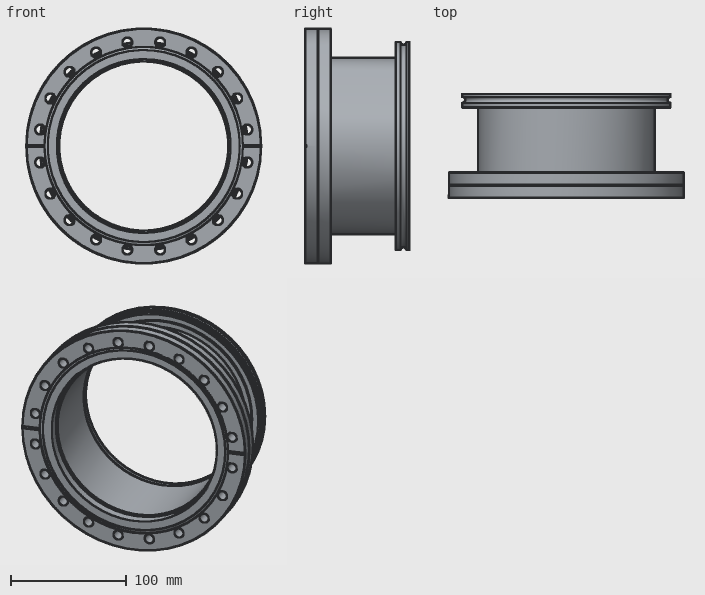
import cadquery as cq
overall_length = 90.0
back_chamfer = 0.6

tube_diameter = 152.9
tube_bore = 146.5

bolted_diameter = 203.0
bolted_thickness = 22.3
bolted_bore = 150.2
front_chamfer = 0.5
recess_diameter = 171.3
recess_depth = 1.5
knife_diameter = 165.9
knife_tip_depth = 0.6
seat_depth = recess_depth
tube_socket_start = 12.5
rim_groove_y = 11.2
rim_groove_width = 1.0
rim_groove_depth = 0.2

bolt_count = 20
bolt_circle = 181.0
bolt_hole = 8.3
slot_radius = 1.0

clamp_diameter = 180.0
clamp_thickness = 12.0
clamp_bore = 146.0
clamp_socket_depth = 6.0
clamp_groove_root = 175.0
clamp_groove_radius = (clamp_diameter - clamp_groove_root) / 2
clamp_groove_offset = 2 * clamp_groove_radius
face_groove_outer = 175.0
face_groove_inner = 163.0
face_groove_depth = 2.0

clamp_front = overall_length - clamp_thickness
tube_end = clamp_front + clamp_socket_depth


def revolve_profile(profile):
    """Turn a closed XY profile (X = radius, Y = axial place) about the Y axis."""
    return profile.close().revolve(360, (0, 0, 0), (0, 1, 0))


def ring(outer, inner, start, end):
    """Plain ring between two diameters and two places along Y."""
    return revolve_profile(
        cq.Workplane("XY")
        .moveTo(inner / 2, start)
        .lineTo(outer / 2, start)
        .lineTo(outer / 2, end)
        .lineTo(inner / 2, end)
    )


def make_tube():
    """Plain tube whose ends sit in the sockets of the two flanges."""
    return ring(tube_diameter, tube_bore, tube_socket_start, tube_end)


def make_bolted_flange():
    """Flange with a knife edge in a face recess, bolt holes and leak-check slots."""
    rim = bolted_diameter / 2
    flange = revolve_profile(
        cq.Workplane("XY")
        .moveTo(bolted_bore / 2, seat_depth)
        .lineTo(knife_diameter / 2, seat_depth)
        .lineTo(knife_diameter / 2, knife_tip_depth)
        .lineTo(recess_diameter / 2, recess_depth)
        .lineTo(recess_diameter / 2, 0)
        .lineTo(rim - front_chamfer, 0)
        .lineTo(rim, front_chamfer)
        .lineTo(rim, bolted_thickness - back_chamfer)
        .lineTo(rim - back_chamfer, bolted_thickness)
        .lineTo(tube_diameter / 2, bolted_thickness)
        .lineTo(tube_diameter / 2, tube_socket_start)
        .lineTo(bolted_bore / 2, tube_socket_start)
    )
    rim_groove = ring(
        bolted_diameter,
        bolted_diameter - 2 * rim_groove_depth,
        rim_groove_y - rim_groove_width / 2,
        rim_groove_y + rim_groove_width / 2,
    )
    flange = flange.cut(rim_groove)
    holes = (
        cq.Workplane("XZ")
        .polarArray(bolt_circle / 2, 180 / bolt_count, 360, bolt_count)
        .circle(bolt_hole / 2)
        .extrude(-bolted_thickness)
    )
    flange = flange.cut(holes)
    for side in (-1, 1):
        slot = (
            cq.Workplane("YZ", origin=(side * recess_diameter / 2, 0, 0))
            .circle(slot_radius)
            .extrude(side * (bolted_diameter - recess_diameter) / 2)
        )
        flange = flange.cut(slot)
    return flange


def make_clamp_flange():
    """Flange with a half-round groove in its rim and a square groove in its inner face."""
    rim = clamp_diameter / 2
    groove_y = overall_length - clamp_groove_offset
    return revolve_profile(
        cq.Workplane("XY")
        .moveTo(tube_diameter / 2, clamp_front)
        .lineTo(face_groove_inner / 2, clamp_front)
        .lineTo(face_groove_inner / 2, clamp_front + face_groove_depth)
        .lineTo(face_groove_outer / 2, clamp_front + face_groove_depth)
        .lineTo(face_groove_outer / 2, clamp_front)
        .lineTo(rim - back_chamfer, clamp_front)
        .lineTo(rim, clamp_front + back_chamfer)
        .lineTo(rim, groove_y - clamp_groove_radius)
        .threePointArc((clamp_groove_root / 2, groove_y), (rim, groove_y + clamp_groove_radius))
        .lineTo(rim, overall_length)
        .lineTo(clamp_bore / 2, overall_length)
        .lineTo(clamp_bore / 2, tube_end)
        .lineTo(tube_diameter / 2, tube_end)
    )


tube = make_tube()
bolted_flange = make_bolted_flange()
clamp_flange = make_clamp_flange()

result = cq.Compound.makeCompound([tube.val(), bolted_flange.val(), clamp_flange.val()])